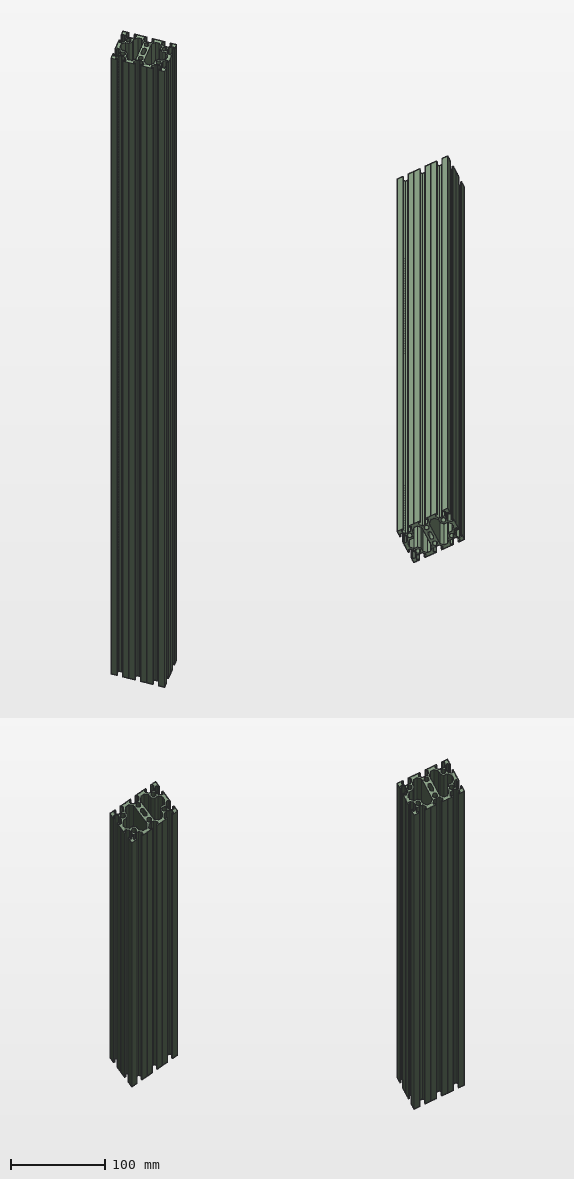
import cadquery as cq

length = 1000.0
module = 20.0
columns = 3
rows = 2
width = columns * module
depth = rows * module

slot_opening = 6.2
slot_inner_width = 11.0
slot_floor_width = 6.0
slot_depth = 6.2
lip_thickness = 1.5
taper_start_depth = 3.5
floor_groove_half_width = 0.5
floor_groove_depth = 0.5

joint_groove_half_width = 0.3
joint_groove_depth = 0.3

bore_diameter = 5.0
core_half_width = 4.5
core_chamfer = 3.0
outer_wall = 4.0
chamber_tip_half_width = 2.0
web_cavity_length = 9.0
web_cavity_width = 4.0

column_centres = [(i - (columns - 1) / 2) * module for i in range(columns)]
row_centres = [(i - (rows - 1) / 2) * module for i in range(rows)]
column_joints = [x + module / 2 for x in column_centres[:-1]]
row_joints = [y + module / 2 for y in row_centres[:-1]]


def prism(points):
    """Full-length prism over a closed polygon."""
    return cq.Workplane("XY").polyline(points).close().extrude(length)


def t_slot():
    """T-slot open at y = 0 and running inward along -Y, with a V-groove in its floor."""
    left_side = [
        (-slot_opening / 2, 0),
        (-slot_opening / 2, -lip_thickness),
        (-slot_inner_width / 2, -lip_thickness),
        (-slot_inner_width / 2, -taper_start_depth),
        (-slot_floor_width / 2, -slot_depth),
        (-floor_groove_half_width, -slot_depth),
    ]
    groove_bottom = (0, -slot_depth - floor_groove_depth)
    right_side = [(-x, y) for x, y in reversed(left_side)]
    return prism(left_side + [groove_bottom] + right_side)


def joint_groove():
    """V-groove open at y = 0 and running inward along -Y."""
    return prism([
        (-joint_groove_half_width, 0),
        (0, -joint_groove_depth),
        (joint_groove_half_width, 0),
    ])


def cut_from_outer_faces(body, cutter, x_places, y_places):
    """Cut into the Y faces at each x place and into the X faces at each y place."""
    def placed(angle, x, y):
        return cutter.rotate((0, 0, 0), (0, 0, 1), angle).translate((x, y, 0))

    for x in x_places:
        body = body.cut(placed(0, x, depth / 2))
        body = body.cut(placed(180, x, -depth / 2))
    for y in y_places:
        body = body.cut(placed(-90, width / 2, y))
        body = body.cut(placed(90, -width / 2, y))
    return body


def chamber():
    """Opening between the corner modules on the -X side and the middle web."""
    corner_x = column_centres[0]
    corner_y = row_centres[-1]
    peak_x = column_joints[0]
    core_right = corner_x + core_half_width
    core_bottom = corner_y - core_half_width
    web_face = column_centres[1] - core_half_width
    tip_x = -width / 2 + outer_wall
    peak_y = depth / 2 - outer_wall
    slant = core_bottom - chamber_tip_half_width
    upper_half = [
        (tip_x, chamber_tip_half_width),
        (tip_x + slant, core_bottom),
        (core_right - core_chamfer, core_bottom),
        (core_right, core_bottom + core_chamfer),
        (core_right, peak_y - slant),
        (peak_x - chamber_tip_half_width, peak_y),
        (peak_x + chamber_tip_half_width, peak_y),
        (web_face, peak_y - slant),
    ]
    lower_half = [(x, -y) for x, y in reversed(upper_half)]
    return prism(upper_half + lower_half)


def core_bores():
    """Round bore through the centre of every module."""
    centres = [(x, y) for x in column_centres for y in row_centres]
    return cq.Workplane("XY").pushPoints(centres).circle(bore_diameter / 2).extrude(length)


def web_cavity():
    """Rounded cavity through the middle web, long side along Y."""
    return cq.Workplane("XY").slot2D(web_cavity_length, web_cavity_width, 90).extrude(length)


body = cq.Workplane("XY").rect(width, depth).extrude(length)
body = cut_from_outer_faces(body, t_slot(), column_centres, row_centres)
body = cut_from_outer_faces(body, joint_groove(), column_joints, row_joints)
body = body.cut(core_bores()).cut(web_cavity())
body = body.cut(chamber()).cut(chamber().mirror("YZ"))
result = body